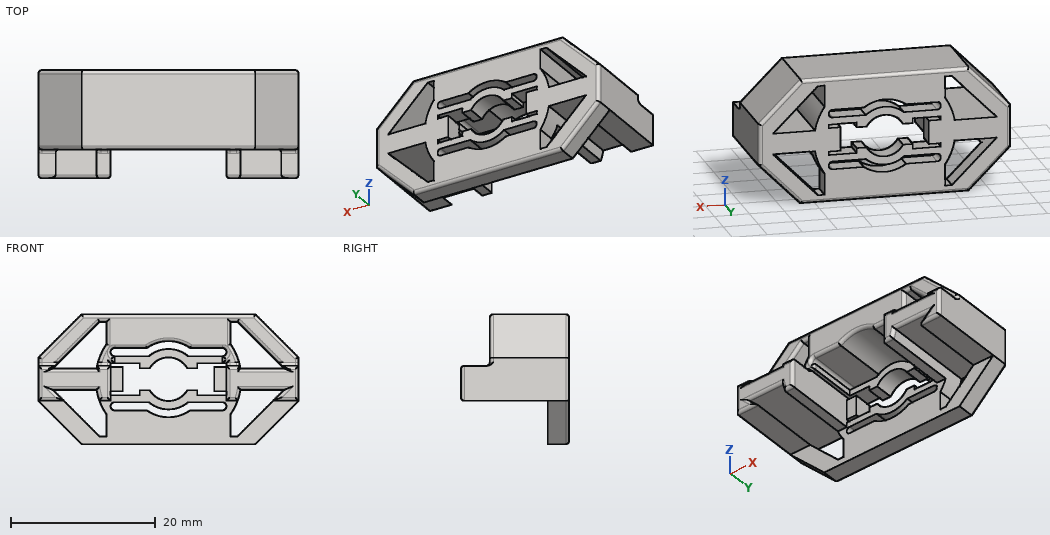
import cadquery as cq
import math

half_width = 18.0
half_height = 9.0
corner_cut = 6.0
plate_depth = 3.0
hood_depth = 11.0
rail_depth = 15.0
edge_radius = 0.5

rail_top = 1.85
rail_bottom = -3.0
rail_inner_x = 8.0

rim_thickness = 2.5
window_inner_x = 8.6
window_half_height = 7.9
web_half_height = 1.5
hub_radius = 8.6
hub_offset_x = 1.5

diagonal_sum = half_width + half_height - corner_cut - rim_thickness * math.sqrt(2)

bore_radius = 3.0
jaw_half_gap = 1.5
jaw_end_x = 4.0
arm_inner_z = 2.2
arm_outer_z = 3.2
arm_bulge_radius = 4.2
slot_outer_z = 4.3
slot_bulge_radius = 5.25
stop_inner_x = 6.3
stop_half_height = 1.7


def extrude_forward(outline, depth):
    """Extrude an XZ outline from the rear face toward -Y."""
    return outline.close().extrude(depth)


def block(x_low, x_high, z_low, z_high, depth):
    corners = [(x_low, z_low), (x_high, z_low), (x_high, z_high), (x_low, z_high)]
    return extrude_forward(cq.Workplane("XZ").polyline(corners), depth)


def centred_block(half_x, half_z, depth):
    return block(-half_x, half_x, -half_z, half_z, depth)


def disc(radius, depth):
    return cq.Workplane("XZ").circle(radius).extrude(depth)


def blank(depth):
    """Octagonal slab with its rear edges rounded."""
    slab = centred_block(half_width, half_height, depth).edges("|Y").chamfer(corner_cut)
    return slab.faces(">Y").edges().fillet(edge_radius)


def mirrored_pair(body):
    """The body together with its mirror image on the other side of x = 0."""
    return body.union(body.mirror("YZ"))


def window(depth):
    """Upper right opening, bounded by the rim, the web and the hub arc."""
    corners = [
        (window_inner_x, web_half_height),
        (diagonal_sum - web_half_height, web_half_height),
        (diagonal_sum - window_half_height, window_half_height),
        (window_inner_x, window_half_height),
    ]
    opening = extrude_forward(cq.Workplane("XZ").polyline(corners), depth)
    return opening.cut(disc(hub_radius, depth).translate((hub_offset_x, 0, 0)))


def flared(cutter, depth):
    """Widen the front mouth of a cutter so that it leaves a rounded edge behind."""
    slab = centred_block(2 * half_width, 2 * half_height, depth)
    mouth_edges = slab.cut(cutter).faces("<Y").wires(cq.selectors.LengthNthSelector(0)).edges()
    return slab.cut(mouth_edges.fillet(edge_radius))


def side_windows(depth, flare):
    opening = window(depth)
    if flare:
        opening = flared(opening, depth)
    upper = mirrored_pair(opening)
    return upper.union(upper.mirror("XY"))


def slot_pair(depth):
    """Round-ended bands for both slots, with the round bulge over the jaws."""
    slot_width = slot_outer_z - arm_outer_z
    centre_z = (slot_outer_z + arm_outer_z) / 2
    centres = [(0, centre_z), (0, -centre_z)]
    bands = cq.Workplane("XZ").pushPoints(centres).slot2D(2 * rail_inner_x, slot_width).extrude(depth)
    return bands.union(disc(slot_bulge_radius, depth))


def arm_body(depth):
    """Region inside the outer edges of the two sprung arms."""
    return centred_block(rail_inner_x, arm_outer_z, depth).union(disc(arm_bulge_radius, depth))


def hood_clearance():
    """Space under the hood, opening around the slots, the arms and the gap between the rails."""
    slot_end_radius = (slot_outer_z - arm_outer_z) / 2
    ledge_x = rail_inner_x - slot_end_radius
    space = slot_pair(hood_depth)
    space = space.union(centred_block(ledge_x, arm_outer_z + slot_end_radius, hood_depth))
    space = space.union(centred_block(rail_inner_x, arm_inner_z, hood_depth))
    return flared(space, hood_depth)


def rear_plate():
    plate = blank(plate_depth)
    slots = slot_pair(plate_depth).cut(arm_body(plate_depth))
    jaws = block(bore_radius / 2, jaw_end_x, jaw_half_gap, arm_inner_z, plate_depth)
    jaws = mirrored_pair(jaws)
    jaws = jaws.union(jaws.mirror("XY"))
    gap = centred_block(rail_inner_x, arm_inner_z, plate_depth).cut(jaws)
    stop = block(stop_inner_x, rail_inner_x, -stop_half_height, stop_half_height, plate_depth)
    gap = gap.cut(mirrored_pair(stop))
    plate = plate.cut(slots).cut(gap).cut(disc(bore_radius, plate_depth))
    return plate.cut(side_windows(plate_depth, flare=False))


def hood():
    body = blank(hood_depth).faces("<Y").edges().fillet(edge_radius)
    body = body.intersect(block(-half_width, half_width, 0, half_height, hood_depth))
    return body.cut(side_windows(hood_depth, flare=True)).cut(hood_clearance())


def rails():
    outer = block(rail_inner_x, half_width, rail_bottom, rail_top, rail_depth)
    outer = outer.faces("<Y").edges().fillet(edge_radius)
    outer = outer.intersect(blank(rail_depth))
    return mirrored_pair(outer).cut(side_windows(rail_depth, flare=True))


def cove(x_low, x_high):
    """Concave fillet where a rounded-edge post of the hood stands on the rail top."""
    cove_top = rail_top + edge_radius
    post = block(x_low, x_high, rail_top, 2 * cove_top, hood_depth)
    post = post.edges("|Z and <Y").fillet(edge_radius)
    base = block(0, 2 * half_width, rail_bottom, rail_top, rail_depth)
    foot = base.union(post)
    on_rail_top = cq.selectors.BoxSelector(
        (x_low - edge_radius, -hood_depth - edge_radius, rail_top - edge_radius / 2),
        (x_high + edge_radius, -edge_radius, rail_top + edge_radius / 2),
    )
    foot = foot.edges(on_rail_top).fillet(edge_radius)
    return foot.intersect(block(rail_inner_x, half_width, rail_top, cove_top, rail_depth))


def coves():
    """Coves at the hub side and the rim side of each rail."""
    hub_side_x = hub_offset_x + math.sqrt(hub_radius**2 - rail_top**2)
    rim_side_x = diagonal_sum - rail_top - edge_radius
    pair = cove(rail_inner_x, hub_side_x).union(cove(rim_side_x, half_width))
    pair = pair.intersect(blank(rail_depth))
    return mirrored_pair(pair).cut(side_windows(rail_depth, flare=False))


result = rear_plate().union(hood()).union(rails()).union(coves())